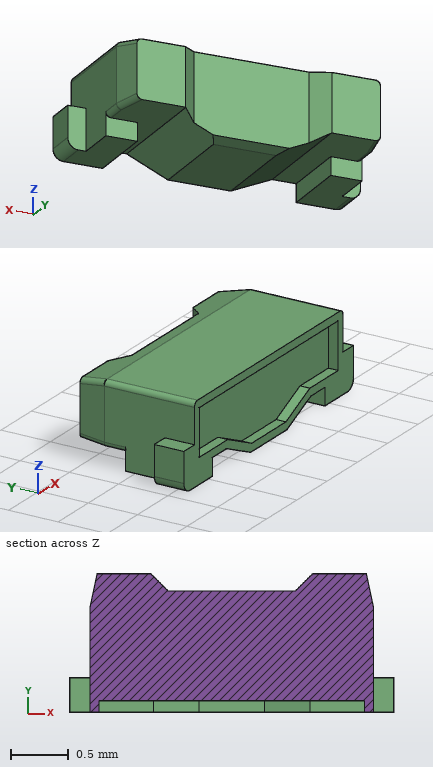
import cadquery as cq
import math

HOUSING_WIDTH = 2.45
HEIGHT = 0.8
DEPTH = 1.2
EDGE_RADIUS = 0.05

TAPER_START = 0.915
TAPER_ANGLE = 12.0

LEDGE_Z = 0.175
BULGE_BOTTOM_HALF = 0.30
BULGE_TOP_HALF = 0.695
LEG_WIDTH = 0.30
LEG_DEPTH = 0.70

NOTCH_DEPTH = 0.15
NOTCH_OUTER_HALF = 0.70
NOTCH_INNER_HALF = NOTCH_OUTER_HALF - NOTCH_DEPTH

WINDOW_WALL = 0.08
WINDOW_DEPTH = 0.10

OVERALL_WIDTH = 2.8
TERMINAL_HEIGHT = 0.4
TERMINAL_DEPTH = 0.3
TERMINAL_RADIUS = 0.1

HALF_WIDTH = HOUSING_WIDTH / 2


def prism(points, y_start, y_end):
    """Extrude an XZ outline along Y from y_start to y_end."""
    plane = cq.Workplane("XZ", origin=(0, y_start, 0))
    return plane.polyline(points).close().extrude(y_start - y_end)


def mirrored(points):
    """Complete a right-hand chain of points with its mirror image about x = 0."""
    return points + [(-x, other) for x, other in reversed(points)]


def make_block():
    """Straight block with a rear section whose four sides taper inward."""
    outline = cq.Workplane("XZ").center(0, HEIGHT / 2).rect(HOUSING_WIDTH, HEIGHT)
    straight = outline.extrude(-TAPER_START)
    rear_plane = cq.Workplane("XZ", origin=(0, TAPER_START, HEIGHT / 2))
    rear = rear_plane.rect(HOUSING_WIDTH, HEIGHT).extrude(TAPER_START - DEPTH, taper=TAPER_ANGLE)
    return straight.union(rear)


def cut_underside(block):
    """Relieve the underside around the bulge, leaving a leg at each end."""
    inner_x = HALF_WIDTH - LEG_WIDTH
    for side in (-1, 1):
        slope = [(side * BULGE_BOTTOM_HALF, 0), (side * BULGE_TOP_HALF, LEDGE_Z)]
        front = slope + [(side * inner_x, LEDGE_Z), (side * inner_x, 0)]
        rear = slope + [(side * HALF_WIDTH, LEDGE_Z), (side * HALF_WIDTH, 0)]
        block = block.cut(prism(front, 0, LEG_DEPTH))
        block = block.cut(prism(rear, LEG_DEPTH, DEPTH))
    return block


def round_long_edges(block):
    """Round the top side edges and the outer edges of the rear ledges."""
    taper_inset = (DEPTH - TAPER_START) * math.tan(math.radians(TAPER_ANGLE))
    margin = 0.01
    reach = taper_inset + margin
    for side in (-1, 1):
        x_low, x_high = sorted((side * (HALF_WIDTH - reach), side * (HALF_WIDTH + margin)))
        top_zone = cq.selectors.BoxSelector(
            (x_low, -margin, HEIGHT - reach), (x_high, DEPTH - margin, HEIGHT + margin)
        )
        ledge_zone = cq.selectors.BoxSelector(
            (x_low, LEG_DEPTH + margin, LEDGE_Z - margin), (x_high, DEPTH - margin, LEDGE_Z + margin)
        )
        block = block.edges(top_zone + ledge_zone).fillet(EDGE_RADIUS)
    return block


def make_notch():
    """Full-height trapezoidal notch in the rear face."""
    floor_y = DEPTH - NOTCH_DEPTH
    points = mirrored([(NOTCH_INNER_HALF, floor_y), (NOTCH_OUTER_HALF, DEPTH)])
    return cq.Workplane("XY").polyline(points).close().extrude(HEIGHT)


def make_window():
    """Shallow front recess that follows the housing outline at a uniform wall."""
    slope_angle = math.atan2(LEDGE_Z, BULGE_TOP_HALF - BULGE_BOTTOM_HALF)
    corner_shift = WINDOW_WALL * math.tan(slope_angle / 2)
    side_x = HALF_WIDTH - WINDOW_WALL
    points = mirrored([
        (BULGE_BOTTOM_HALF - corner_shift, WINDOW_WALL),
        (BULGE_TOP_HALF - corner_shift, LEDGE_Z + WINDOW_WALL),
        (side_x, LEDGE_Z + WINDOW_WALL),
        (side_x, HEIGHT - WINDOW_WALL),
    ])
    return prism(points, 0, WINDOW_DEPTH)


def make_terminal(side):
    """Upright terminal block on one end, rounded along its lower outer edge."""
    thickness = (OVERALL_WIDTH - HOUSING_WIDTH) / 2
    block = cq.Workplane("XY").box(thickness, TERMINAL_DEPTH, TERMINAL_HEIGHT)
    outer_face = ">X" if side > 0 else "<X"
    block = block.faces(outer_face).edges("<Z").fillet(TERMINAL_RADIUS)
    center_x = side * (HALF_WIDTH + thickness / 2)
    return block.translate((center_x, TERMINAL_DEPTH / 2, TERMINAL_HEIGHT / 2))


housing = round_long_edges(cut_underside(make_block()))
housing = housing.cut(make_notch()).cut(make_window())
result = housing.union(make_terminal(-1)).union(make_terminal(1))